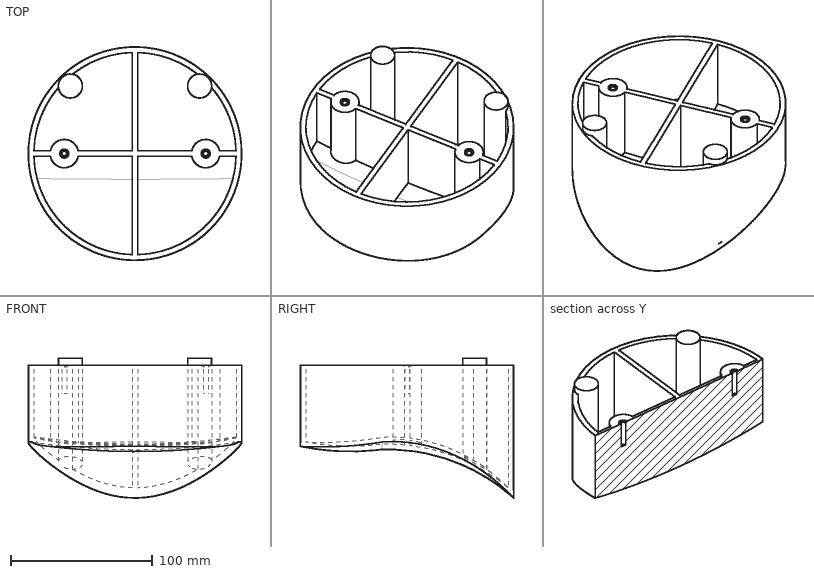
import cadquery as cq
import math


outer_radius = 75.5
wall = 4.0
inner_radius = outer_radius - wall
floor_thickness = 4.0
rib_thickness = 4.0

crown_radius = 500.0
crown_tilt = math.radians(6.0)
seam_y = -18.0
seam_z = -59.7
back_mid_y = 31.9
back_mid_z = -67.7
back_end_z = -93.98
front_mid_y = -46.0
front_mid_z = -61.0
front_end_z = -57.4
side_margin = 10.0
top_margin = 10.0

boss_spacing = 100.0
boss_radius = 10.0
counterbore_radius = 3.15
counterbore_depth = 0.5
screw_hole_radius = 1.75
screw_hole_chamfer = 0.45
screw_hole_depth = 20.0

pin_radius = 8.5
pin_spacing = 91.4
pin_y = 47.8
pin_protrusion = 5.0

full_depth = -back_end_z
boss_xs = [-boss_spacing / 2, boss_spacing / 2]
pin_xs = [-pin_spacing / 2, pin_spacing / 2]


def column(radius, x=0.0, y=0.0, top=0.0, depth=full_depth):
    """Upright cylinder reaching from `top` down by `depth`."""
    return cq.Workplane("XY", origin=(x, y, top)).circle(radius).extrude(-depth)


def space_above_underside(lift):
    """Everything above the curved underside, with that surface raised by `lift`."""
    reach = outer_radius + side_margin
    axis_z = seam_z + crown_radius
    profile = (
        cq.Workplane("YZ")
        .moveTo(-reach, front_end_z)
        .lineTo(-outer_radius, front_end_z)
        .threePointArc((front_mid_y, front_mid_z), (seam_y, seam_z))
        .threePointArc((back_mid_y, back_mid_z), (outer_radius, back_end_z))
        .lineTo(reach, back_end_z)
        .lineTo(reach, top_margin)
        .lineTo(-reach, top_margin)
        .close()
    )
    axis_end = (seam_y + math.cos(crown_tilt), axis_z - math.sin(crown_tilt))
    return profile.revolve(360, (seam_y, axis_z), axis_end).translate((0, 0, lift))


above_underside = space_above_underside(0)
above_floor = space_above_underside(floor_thickness)


def make_ribs():
    """Cross ribs and the two round bosses, at full depth."""
    length = inner_radius + outer_radius
    ribs = cq.Workplane("XY").rect(length, rib_thickness).extrude(-full_depth)
    ribs = ribs.union(cq.Workplane("XY").rect(rib_thickness, length).extrude(-full_depth))
    for x in boss_xs:
        ribs = ribs.union(column(boss_radius, x))
    return ribs


def make_screw_hole(x):
    """Blind screw hole with a lead-in chamfer under a shallow counterbore."""
    chamfer_bottom = -counterbore_depth - screw_hole_chamfer
    mouth_radius = screw_hole_radius + screw_hole_chamfer
    half_section = (
        cq.Workplane("XZ")
        .moveTo(0, 0)
        .lineTo(counterbore_radius, 0)
        .lineTo(counterbore_radius, -counterbore_depth)
        .lineTo(mouth_radius, -counterbore_depth)
        .lineTo(screw_hole_radius, chamfer_bottom)
        .lineTo(screw_hole_radius, -screw_hole_depth)
        .lineTo(0, -screw_hole_depth)
        .close()
    )
    return half_section.revolve(360, (0, 0), (0, 1)).translate((x, 0, 0))


def make_pin(x):
    """Round foot whose lower end follows the floor."""
    blank = column(pin_radius, x, pin_y, pin_protrusion, full_depth + pin_protrusion)
    return blank.intersect(above_floor)


def make_housing(pins):
    """Round shell with curved floor, cross ribs, screw bosses and pin sockets."""
    cavities = column(inner_radius).cut(make_ribs()).intersect(above_floor)
    housing = column(outer_radius).intersect(above_underside).cut(cavities)
    for x in boss_xs:
        housing = housing.cut(make_screw_hole(x))
    for pin in pins:
        housing = housing.cut(pin)
    return housing


pins = [make_pin(x) for x in pin_xs]
housing = make_housing(pins)

result = cq.Compound.makeCompound([housing.val(), *[pin.val() for pin in pins]])